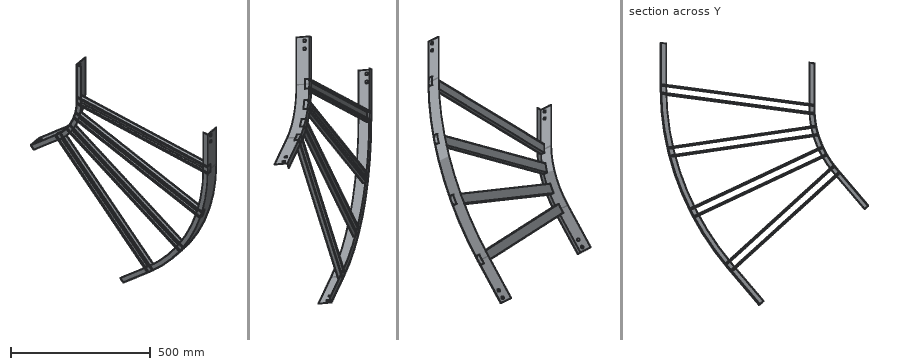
import cadquery as cq
import math


overall_height = 932.0
tray_width = 600.0
bend_angle = 45.0
inner_radius = 300.0
outer_radius = inner_radius + tray_width

rail_depth = 50.0
flange_width = 20.5
sheet = 1.5

rung_count = 4
rung_width = 37.0
rung_depth = 17.0
lip_width = 6.5

holes_per_end = 2
hole_diameter = 10.0
hole_end_distance = 15.0
hole_pitch = 30.0
hole_setback = 19.0

sin_bend = math.sin(math.radians(bend_angle))
tail = (overall_height - outer_radius * sin_bend) / (1 + sin_bend)

BEND_AXIS_START = (0, 0, 0)
BEND_AXIS_END = (0, 1, 0)


def turned(shape, angle):
    """Turn a shape about the bend axis from the upper end of the arc toward the lower end."""
    return shape.rotate(BEND_AXIS_START, BEND_AXIS_END, angle)


def box(x_range, y_range, z_range):
    """Box between the given limits."""
    size = [high - low for low, high in (x_range, y_range, z_range)]
    corner = (x_range[0], y_range[0], z_range[0])
    return cq.Workplane("XY").box(*size, centered=False).translate(corner)


def bent_strip(radius_a, radius_b, depth):
    """Strip between two radii, from the front face back: upper tail, arc and lower tail."""
    low, high = sorted((radius_a, radius_b))
    arc = (
        cq.Workplane("XY")
        .moveTo(low, 0)
        .lineTo(high, 0)
        .lineTo(high, depth)
        .lineTo(low, depth)
        .close()
        .revolve(bend_angle, (0, 0), (0, 1))
    )
    upper_tail = box((low, high), (0, depth), (0, tail))
    lower_tail = turned(box((low, high), (0, depth), (-tail, 0)), bend_angle)
    return arc.union(upper_tail).union(lower_tail)


def rail(radius, inward):
    """Angle rail with its web face on the radius; inward is +1 or -1 toward the other rail."""
    web = bent_strip(radius, radius + inward * sheet, rail_depth)
    flange = bent_strip(radius, radius + inward * flange_width, sheet)
    body = web.union(flange)
    for number in range(holes_per_end):
        distance = tail - hole_end_distance - number * hole_pitch
        hole = (
            cq.Workplane("YZ")
            .center(hole_setback, distance)
            .circle(hole_diameter / 2)
            .extrude(2 * sheet, both=True)
            .translate((radius, 0, 0))
        )
        mirrored_hole = hole.mirror("XY")
        body = body.cut(hole).cut(turned(mirrored_hole, bend_angle))
    return body


def rung():
    """Lipped channel running along X from web to web."""
    ends = (inner_radius + sheet / 2, outer_radius - sheet / 2)
    half = rung_width / 2
    front = sheet
    back = front + rung_depth
    channel = box(ends, (front, back), (-half, half))
    cavity = box(ends, (front + sheet, back - sheet), (sheet - half, half - sheet))
    mouth = box(ends, (front, front + sheet), (lip_width - half, half - lip_width))
    return channel.cut(cavity).cut(mouth)


result = rail(inner_radius, 1).union(rail(outer_radius, -1))
for index in range(rung_count):
    result = result.union(turned(rung(), index * bend_angle / (rung_count - 1)))